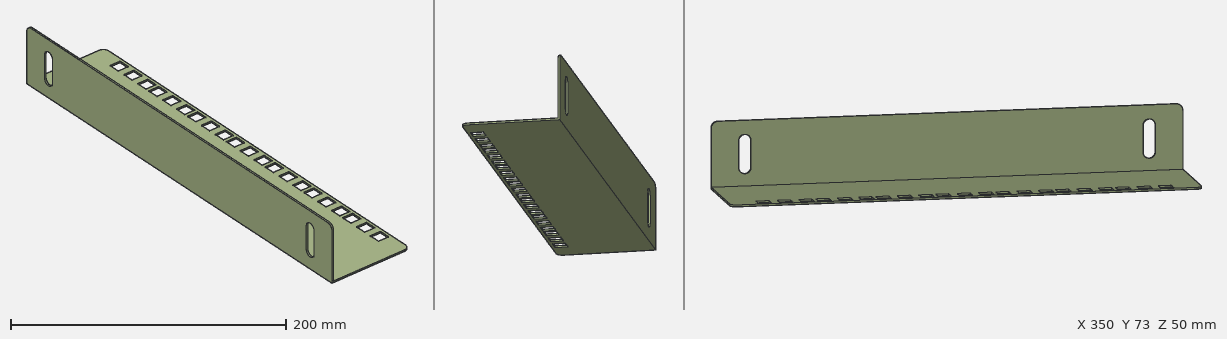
import cadquery as cq

LENGTH = 350.0
DEPTH = 73.0
HEIGHT = 50.0
THICKNESS = 1.5
CORNER_RADIUS = 5.0

RACK_UNITS = 7
RACK_UNIT_PITCH = 44.45
HOLE_SPACING = 15.875
HOLES_PER_UNIT = 3
SQUARE_SIZE = 9.5
SQUARE_EDGE_MARGIN = 2.5

SLOT_SPACING = 300.0
SLOT_LENGTH = 29.0
SLOT_WIDTH = 9.0

FRONT_Y = -DEPTH / 2
REAR_Y = DEPTH / 2


def make_base():
    """Horizontal leg with its two rear corners rounded."""
    base = cq.Workplane("XY").box(LENGTH, DEPTH, THICKNESS, centered=(True, True, False))
    return base.edges("|Z and >Y").fillet(CORNER_RADIUS)


def make_flange():
    """Upright leg along the front edge with its two top corners rounded."""
    flange = cq.Workplane("XY").box(LENGTH, THICKNESS, HEIGHT, centered=(True, False, False))
    flange = flange.edges("|Y and >Z").fillet(CORNER_RADIUS)
    return flange.translate((0, FRONT_Y, 0))


def square_hole_centers():
    """Centres of the square holes: each rack unit holds a symmetric group of three."""
    row_y = REAR_Y - SQUARE_EDGE_MARGIN - SQUARE_SIZE / 2
    centers = []
    for unit in range(RACK_UNITS):
        unit_x = (unit - (RACK_UNITS - 1) / 2) * RACK_UNIT_PITCH
        for hole in range(HOLES_PER_UNIT):
            hole_x = unit_x + (hole - (HOLES_PER_UNIT - 1) / 2) * HOLE_SPACING
            centers.append((hole_x, row_y))
    return centers


def make_square_holes():
    """Cutters for the row of square holes through the base."""
    return (
        cq.Workplane("XY")
        .pushPoints(square_hole_centers())
        .rect(SQUARE_SIZE, SQUARE_SIZE)
        .extrude(THICKNESS)
    )


def make_slots():
    """Cutters for the two vertical slots, at mid-height of the flange."""
    slot_x = SLOT_SPACING / 2
    return (
        cq.Workplane("XZ", origin=(0, FRONT_Y, 0))
        .pushPoints([(-slot_x, HEIGHT / 2), (slot_x, HEIGHT / 2)])
        .slot2D(SLOT_LENGTH, SLOT_WIDTH, 90)
        .extrude(-THICKNESS)
    )


bracket = make_base().union(make_flange())
result = bracket.cut(make_square_holes()).cut(make_slots())